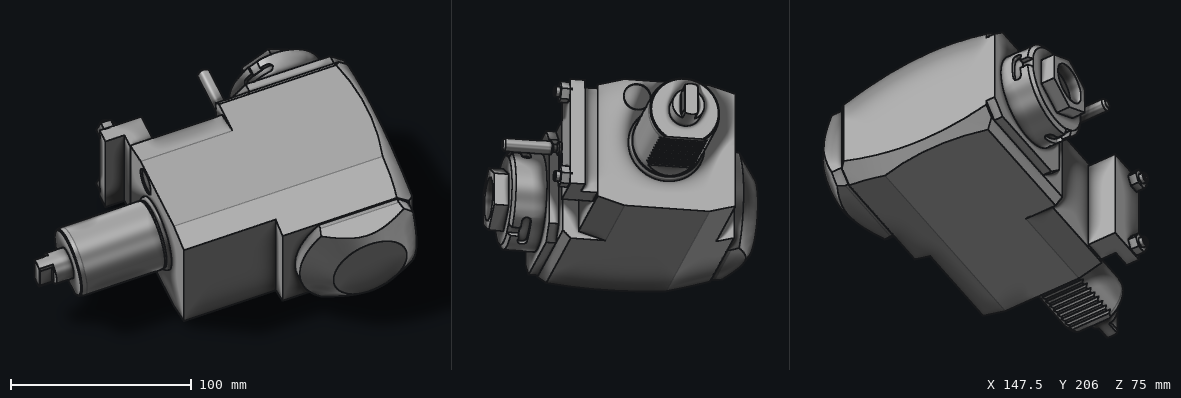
import cadquery as cq
import math


HALF_HEIGHT = 37.5
BACK_Y = 134.0
STEP_Y = 55.0
UPPER_LEFT_X = -47.5
UPPER_RIGHT_X = 49.0
LOWER_LEFT_X = -38.7
LOWER_RIGHT_X = 39.0
UPPER_LEFT_CHAMFER = 4.4
LOWER_LEFT_SLOPE_X = -23.7
LOWER_LEFT_SLOPE_DROP = 4.4
RIGHT_SLOPE_X = 24.3
RIGHT_SLOPE = 7.0 / 24.7
BACK_CORNER_CHAMFER = 3.3
CONE_CENTER_X = -9.5
CONE_CENTER_Y = 0.0
CONE_TOP_RADIUS = 129.6

PLUG_X = -16.3
PLUG_Z = 27.5
PLUG_RADIUS = 7.6
PLUG_DEPTH = 1.0

SPINDLE_Y = 100.0
PLATE_LEFT_X = -53.0
PLATE_FRONT_Y = 66.8
PLATE_HALF_HEIGHT = HALF_HEIGHT - UPPER_LEFT_CHAMFER
PLATE_CHAMFER = 8.3

NUT_RADIUS = 27.5
NUT_LEFT_X = -72.2
NUT_EDGE_LENGTH = 1.8
NUT_EDGE_HEIGHT = 2.6
NUT_SLOT_X = -63.0
NUT_SLOT_WIDTH = 5.2
NUT_SLOT_LENGTH = 19.0
NUT_SLOT_DEPTH = 2.5
NUT_KEYWAY_WIDTH = 6.0
NUT_KEYWAY_DEPTH = 3.0
NUT_SLOT_COUNT = 3
HEX_LEFT_X = -80.5
HEX_ACROSS_FLATS = 32.0
HEX_BORE_RADIUS = 12.0
HEX_BORE_DEPTH = 7.0

NOZZLE_Y = 60.7
NOZZLE_Z = 17.4
NOZZLE_RADIUS = 3.7
NOZZLE_CHAMFER = 1.3
NOZZLE_NECK_RADIUS = 2.2
NOZZLE_BODY_END_X = -53.2
NOZZLE_NECK_START_X = -52.0
NOZZLE_NECK_END_X = -50.0
NOZZLE_BASE_X = -49.0
SCREW_Z = 10.4
SCREW_RADIUS = 3.8
SCREW_RECESS_DEPTH = 0.5
SCREW_HOLE_RADIUS = 1.2
SCREW_HOLE_DEPTH = 3.0

CAP_RADIUS = 37.6
CAP_END_RADIUS = 22.0
CAP_CONE_X = 55.9
CAP_END_X = 67.0
CAP_BACK_Y = 130.3
CAP_HALF_HEIGHT = 29.4
CAP_SLOPE_X = 51.3
CAP_SLOPE = 0.24

SHANK_RADIUS = 20.0
SHANK_END_Y = -53.4
SHANK_TAPER_Y = -50.2
SHANK_TAPER_DROP = 0.5
SHANK_EDGE_CHAMFER = 0.6
COLLAR_RADIUS = 21.5
COLLAR_END_Y = -2.2
COLLAR_BULGE = 0.4
RELIEF_RADIUS = 19.6
RELIEF_END_Y = -3.4
FLAT_Z = -16.0
FLAT_START_Y = -9.0
TOOTH_PITCH = 4.0
TOOTH_DEPTH = 1.2
FIRST_TOOTH_Y = -12.8
TOOTH_COUNT = 10
DRIVE_RADIUS = 9.0
DRIVE_SHOULDER_Y = -63.7
TANG_END_Y = -72.0
TANG_HALF_WIDTH = 4.0
TANG_FACE_HALF_HEIGHT = 6.6
TANG_BEVEL_DEPTH = 0.8
TANG_ROOT_CHAMFER = 0.8
TANG_TIP_CHAMFER = 0.5

BRACKET_LEFT_X = -56.2
BRACKET_STEP_X = -48.0
BRACKET_BACK_Y = 14.0
BRACKET_STEP_Y = 0.4
BRACKET_FRONT_Y = -11.0
BRACKET_HALF_HEIGHT = 30.9
BOLT_Y = -5.3
BOLT_Z = 25.0
BOLT_HEX_ACROSS_FLATS = 10.2
BOLT_HEX_HEIGHT = 5.0
BOLT_STUD_RADIUS = 2.9
BOLT_STUD_CHAMFER = 0.6
BOLT_STUD_HEIGHT = 8.1
BOLT_SOCKET_SIZE = 3.0
BOLT_SOCKET_DEPTH = 2.0

OVERLAP = 1.0


def box(x_range, y_range, z_range):
    size = [high - low for low, high in (x_range, y_range, z_range)]
    return cq.Workplane("XY").box(*size, centered=False).translate((x_range[0], y_range[0], z_range[0]))


def x_plane(x, y, z):
    """Plane at x facing +X, with local x along +Y and local y along +Z."""
    return cq.Workplane("YZ", origin=(x, y, z))


def x_cylinder(x_start, x_end, y, z, radius):
    return x_plane(x_start, y, z).circle(radius).extrude(x_end - x_start)


def x_hexagon(x_start, x_end, y, z, across_flats, turn=0.0):
    prism = x_plane(x_start, y, z).polygon(6, across_flats / math.cos(math.pi / 6)).extrude(x_end - x_start)
    return prism.rotate((0, y, z), (1, y, z), turn)


def revolve_about_x(profile, y, z):
    """Turn (x, radius) points about the line parallel to X through y, z."""
    outline = cq.Workplane("XY").polyline(profile).close()
    return outline.revolve(360, (0, 0, 0), (1, 0, 0)).translate((0, y, z))


def revolve_about_y(profile):
    """Turn (radius, y) points about the Y axis."""
    return cq.Workplane("XY").polyline(profile).close().revolve(360, (0, 0, 0), (0, 1, 0))


def symmetric_section(upper_points, y_start, y_end):
    """Extrude along Y an outline given by its upper (x, z) points and mirrored about Z = 0."""
    lower_points = [(x, -z) for x, z in reversed(upper_points)]
    section = cq.Workplane("XZ", origin=(0, y_start, 0)).polyline(upper_points + lower_points).close()
    return section.extrude(y_start - y_end)


def right_side_height(x):
    return HALF_HEIGHT - RIGHT_SLOPE * (x - RIGHT_SLOPE_X)


def back_edge_cone():
    rim_radius = CONE_TOP_RADIUS + HALF_HEIGHT
    cone = cq.Workplane("XY").circle(rim_radius).extrude(HALF_HEIGHT, taper=45)
    cone = cone.union(cone.mirror("XY"))
    return cone.translate((CONE_CENTER_X, CONE_CENTER_Y, 0))


def make_housing():
    upper = symmetric_section(
        [
            (UPPER_LEFT_X, HALF_HEIGHT - UPPER_LEFT_CHAMFER),
            (UPPER_LEFT_X + UPPER_LEFT_CHAMFER, HALF_HEIGHT),
            (RIGHT_SLOPE_X, HALF_HEIGHT),
            (UPPER_RIGHT_X, right_side_height(UPPER_RIGHT_X)),
        ],
        STEP_Y,
        BACK_Y,
    )
    upper = upper.edges("|Z and >X and >Y").chamfer(BACK_CORNER_CHAMFER)
    upper = upper.intersect(back_edge_cone())
    lower = symmetric_section(
        [
            (LOWER_LEFT_X, HALF_HEIGHT - LOWER_LEFT_SLOPE_DROP),
            (LOWER_LEFT_SLOPE_X, HALF_HEIGHT),
            (RIGHT_SLOPE_X, HALF_HEIGHT),
            (LOWER_RIGHT_X, right_side_height(LOWER_RIGHT_X)),
        ],
        0,
        STEP_Y + OVERLAP,
    )
    plug = cq.Workplane("XZ", origin=(PLUG_X, 0, PLUG_Z)).circle(PLUG_RADIUS).extrude(-PLUG_DEPTH)
    return upper.union(lower).cut(plug)


def make_plate():
    plate = box(
        (PLATE_LEFT_X, UPPER_LEFT_X + OVERLAP),
        (PLATE_FRONT_Y, BACK_Y),
        (-PLATE_HALF_HEIGHT, PLATE_HALF_HEIGHT),
    )
    return plate.edges("|X").chamfer(PLATE_CHAMFER).intersect(back_edge_cone())


def nut_slot_cutter():
    """Rounded wrench slot and its keyway to the nut face, on the +Y side of the nut."""
    slot_floor = NUT_RADIUS - NUT_SLOT_DEPTH
    slot = cq.Workplane("XZ", origin=(NUT_SLOT_X, NUT_RADIUS + OVERLAP, 0))
    slot = slot.slot2D(NUT_SLOT_LENGTH, NUT_SLOT_WIDTH, 90).extrude(NUT_RADIUS)
    slot = slot.cut(x_cylinder(NUT_LEFT_X, PLATE_LEFT_X, 0, 0, slot_floor))
    keyway = box(
        (NUT_LEFT_X, NUT_SLOT_X - NUT_SLOT_WIDTH / 2),
        (NUT_RADIUS - NUT_KEYWAY_DEPTH, NUT_RADIUS + OVERLAP),
        (-NUT_KEYWAY_WIDTH / 2, NUT_KEYWAY_WIDTH / 2),
    )
    return slot.union(keyway)


def make_clamping_nut():
    nut = revolve_about_x(
        [
            (NUT_LEFT_X, 0),
            (NUT_LEFT_X, NUT_RADIUS - NUT_EDGE_HEIGHT),
            (NUT_LEFT_X + NUT_EDGE_LENGTH, NUT_RADIUS),
            (PLATE_LEFT_X + OVERLAP, NUT_RADIUS),
            (PLATE_LEFT_X + OVERLAP, 0),
        ],
        0,
        0,
    )
    for index in range(NUT_SLOT_COUNT):
        angle = index * 360 / NUT_SLOT_COUNT
        nut = nut.cut(nut_slot_cutter().rotate((0, 0, 0), (1, 0, 0), angle))
    hexagon = x_hexagon(HEX_LEFT_X, NUT_LEFT_X + OVERLAP, 0, 0, HEX_ACROSS_FLATS, 90)
    bore = x_cylinder(HEX_LEFT_X, HEX_LEFT_X + HEX_BORE_DEPTH, 0, 0, HEX_BORE_RADIUS)
    return nut.union(hexagon).cut(bore).translate((0, SPINDLE_Y, 0))


def make_nozzle():
    tip_radius = NOZZLE_RADIUS - NOZZLE_CHAMFER
    return revolve_about_x(
        [
            (HEX_LEFT_X, 0),
            (HEX_LEFT_X, tip_radius),
            (HEX_LEFT_X + NOZZLE_CHAMFER, NOZZLE_RADIUS),
            (NOZZLE_BODY_END_X, NOZZLE_RADIUS),
            (NOZZLE_NECK_START_X, NOZZLE_NECK_RADIUS),
            (NOZZLE_NECK_END_X, NOZZLE_NECK_RADIUS),
            (NOZZLE_BASE_X, NOZZLE_RADIUS),
            (UPPER_LEFT_X + OVERLAP, NOZZLE_RADIUS),
            (UPPER_LEFT_X + OVERLAP, 0),
        ],
        NOZZLE_Y,
        NOZZLE_Z,
    )


def screw_cutter():
    recess = x_cylinder(UPPER_LEFT_X, UPPER_LEFT_X + SCREW_RECESS_DEPTH, NOZZLE_Y, SCREW_Z, SCREW_RADIUS)
    hole = x_cylinder(UPPER_LEFT_X, UPPER_LEFT_X + SCREW_HOLE_DEPTH, NOZZLE_Y, SCREW_Z, SCREW_HOLE_RADIUS)
    return recess.union(hole)


def make_cap():
    cap_start_x = UPPER_RIGHT_X - OVERLAP
    disc = revolve_about_x(
        [
            (cap_start_x, 0),
            (cap_start_x, CAP_RADIUS),
            (CAP_CONE_X, CAP_RADIUS),
            (CAP_END_X, CAP_END_RADIUS),
            (CAP_END_X, 0),
        ],
        SPINDLE_Y,
        0,
    )
    end_half_height = CAP_HALF_HEIGHT - CAP_SLOPE * (CAP_END_X - CAP_SLOPE_X)
    envelope = symmetric_section(
        [
            (cap_start_x, CAP_HALF_HEIGHT),
            (CAP_SLOPE_X, CAP_HALF_HEIGHT),
            (CAP_END_X, end_half_height),
        ],
        SPINDLE_Y - CAP_RADIUS,
        CAP_BACK_Y,
    )
    return disc.intersect(envelope)


def tooth_gap_cutter(y):
    """90 degree V groove running along X across the shank flat."""
    profile = [
        (y - TOOTH_DEPTH, FLAT_Z),
        (y, FLAT_Z + TOOTH_DEPTH),
        (y + TOOTH_DEPTH, FLAT_Z),
    ]
    groove = cq.Workplane("YZ").polyline(profile).close()
    return groove.extrude(SHANK_RADIUS, both=True)


def make_shank():
    end_radius = SHANK_RADIUS - SHANK_TAPER_DROP
    shank = revolve_about_y(
        [
            (0, OVERLAP),
            (RELIEF_RADIUS, OVERLAP),
            (RELIEF_RADIUS, RELIEF_END_Y),
            (SHANK_RADIUS, RELIEF_END_Y),
            (SHANK_RADIUS, SHANK_TAPER_Y),
            (end_radius, SHANK_END_Y + SHANK_EDGE_CHAMFER),
            (end_radius - SHANK_EDGE_CHAMFER, SHANK_END_Y),
            (0, SHANK_END_Y),
        ]
    )
    runout = SHANK_RADIUS + FLAT_Z
    below_flat = (
        cq.Workplane("YZ")
        .polyline(
            [
                (FLAT_START_Y, FLAT_Z),
                (FLAT_START_Y + runout, -SHANK_RADIUS),
                (SHANK_END_Y, -SHANK_RADIUS),
                (SHANK_END_Y, FLAT_Z),
            ]
        )
        .close()
        .extrude(SHANK_RADIUS, both=True)
    )
    shank = shank.cut(below_flat)
    for index in range(TOOTH_COUNT):
        shank = shank.cut(tooth_gap_cutter(FIRST_TOOTH_Y - index * TOOTH_PITCH))
    return shank.union(make_collar())


def make_collar():
    """Collar at the seat face with a rounded outer edge."""
    middle_radius = (COLLAR_RADIUS + SHANK_RADIUS) / 2 + COLLAR_BULGE
    middle_y = COLLAR_END_Y / 2 - COLLAR_BULGE
    outline = (
        cq.Workplane("XY")
        .moveTo(0, OVERLAP)
        .lineTo(COLLAR_RADIUS, OVERLAP)
        .lineTo(COLLAR_RADIUS, 0)
        .threePointArc((middle_radius, middle_y), (SHANK_RADIUS, COLLAR_END_Y))
        .lineTo(0, COLLAR_END_Y)
        .close()
    )
    return outline.revolve(360, (0, 0, 0), (0, 1, 0))


def make_drive_tang():
    """Round drive end whose tip is cut to a flat tang with bevelled long edges."""
    root_y = SHANK_END_Y + OVERLAP
    drive = cq.Workplane("XZ", origin=(0, root_y, 0)).circle(DRIVE_RADIUS)
    drive = drive.extrude(root_y - DRIVE_SHOULDER_Y)
    blade = symmetric_section(
        [
            (-TANG_HALF_WIDTH, TANG_FACE_HALF_HEIGHT),
            (-TANG_HALF_WIDTH + TANG_BEVEL_DEPTH, DRIVE_RADIUS),
            (TANG_HALF_WIDTH - TANG_BEVEL_DEPTH, DRIVE_RADIUS),
            (TANG_HALF_WIDTH, TANG_FACE_HALF_HEIGHT),
        ],
        TANG_END_Y,
        DRIVE_SHOULDER_Y + OVERLAP,
    )
    blade = blade.faces("<Y").edges("<X or >X").chamfer(TANG_TIP_CHAMFER)
    barrel = cq.Workplane("XZ", origin=(0, root_y, 0)).circle(DRIVE_RADIUS).extrude(root_y - TANG_END_Y)
    drive = drive.union(blade.intersect(barrel))
    root_edges = cq.selectors.BoxSelector(
        (-TANG_HALF_WIDTH - TANG_ROOT_CHAMFER, DRIVE_SHOULDER_Y - TANG_ROOT_CHAMFER, -TANG_ROOT_CHAMFER),
        (TANG_HALF_WIDTH + TANG_ROOT_CHAMFER, DRIVE_SHOULDER_Y + TANG_ROOT_CHAMFER, TANG_ROOT_CHAMFER),
    )
    return drive.edges(root_edges).edges("|Z").chamfer(TANG_ROOT_CHAMFER)


def make_bracket():
    outline = [
        (BRACKET_LEFT_X, BRACKET_BACK_Y),
        (LOWER_LEFT_X + OVERLAP, BRACKET_BACK_Y),
        (LOWER_LEFT_X + OVERLAP, BRACKET_STEP_Y),
        (BRACKET_STEP_X, BRACKET_STEP_Y),
        (BRACKET_STEP_X, BRACKET_FRONT_Y),
        (BRACKET_LEFT_X, BRACKET_FRONT_Y),
    ]
    bracket = cq.Workplane("XY").polyline(outline).close().extrude(BRACKET_HALF_HEIGHT, both=True)
    for bolt_z in (-BOLT_Z, BOLT_Z):
        bracket = bracket.union(make_bolt(bolt_z))
    return bracket


def make_bolt(z):
    root_x = BRACKET_LEFT_X + OVERLAP
    tip_x = BRACKET_LEFT_X - BOLT_STUD_HEIGHT
    head = x_hexagon(BRACKET_LEFT_X - BOLT_HEX_HEIGHT, root_x, BOLT_Y, z, BOLT_HEX_ACROSS_FLATS)
    stud = x_cylinder(tip_x, root_x, BOLT_Y, z, BOLT_STUD_RADIUS)
    stud = stud.faces("<X").chamfer(BOLT_STUD_CHAMFER)
    socket = x_hexagon(tip_x, tip_x + BOLT_SOCKET_DEPTH, BOLT_Y, z, BOLT_SOCKET_SIZE)
    return head.union(stud).cut(socket)


result = (
    make_housing()
    .cut(screw_cutter())
    .union(make_plate())
    .union(make_clamping_nut())
    .union(make_nozzle())
    .union(make_cap())
    .union(make_shank())
    .union(make_drive_tang())
    .union(make_bracket())
)